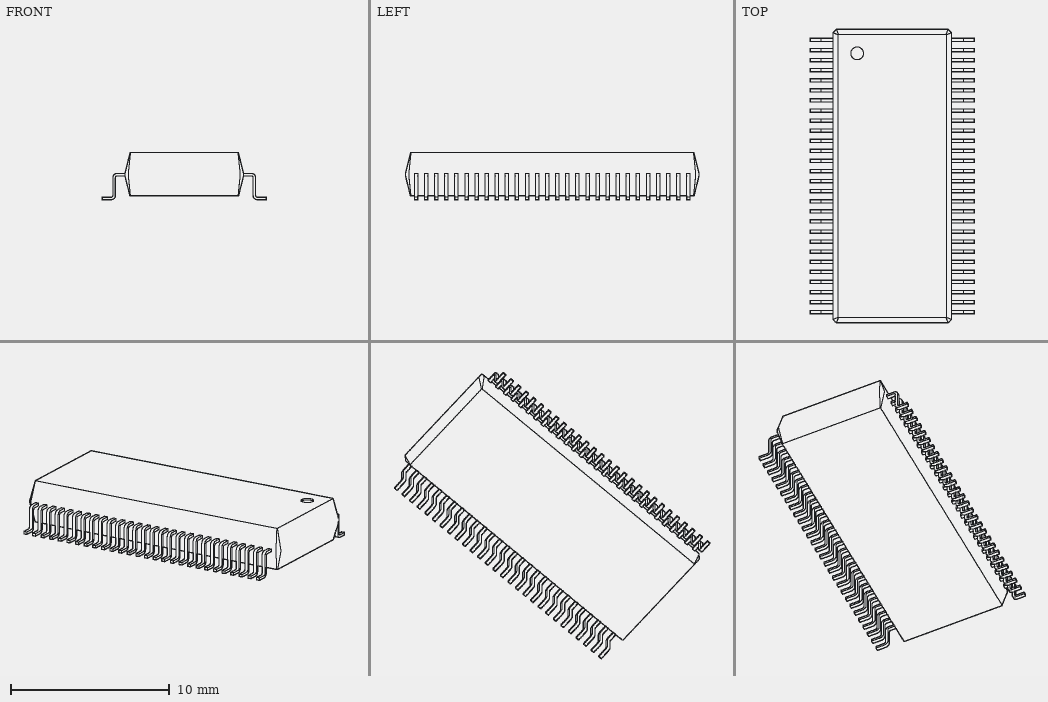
import cadquery as cq
import math

SPAN_X = 10.35
HEIGHT = 2.99

BODY_X = 7.48
BODY_Y = 18.5
STANDOFF = 0.25
CORNER_CHAMFER = 0.22
DRAFT_ANGLE = 14

LEADS_PER_SIDE = 28
PITCH = 0.635
LEAD_WIDTH = 0.22
LEAD_THICKNESS = 0.17
LEAD_TOP = 1.67
SHANK_OUTER_X = 4.5
BEND_INNER_RADIUS = 0.1
LEAD_EMBED = 0.3

BAND_TOP = LEAD_TOP
BAND_BOTTOM = LEAD_TOP - LEAD_THICKNESS

DIMPLE_DIAMETER = 0.8
DIMPLE_DEPTH = 0.1
DIMPLE_X = -2.21
DIMPLE_Y = 7.73


def outline(z, inset):
    """Rectangle with cut corners at height z, all eight sides moved inward by inset."""
    half_x = BODY_X / 2 - inset
    half_y = BODY_Y / 2 - inset
    cut = CORNER_CHAMFER - inset * (2 - math.sqrt(2))
    points = [
        (half_x - cut, half_y),
        (half_x, half_y - cut),
        (half_x, cut - half_y),
        (half_x - cut, -half_y),
        (cut - half_x, -half_y),
        (-half_x, cut - half_y),
        (-half_x, half_y - cut),
        (cut - half_x, half_y),
    ]
    wire = cq.Workplane("XY").workplane(offset=z).polyline(points).close()
    return wire.val()


def body_layer(z_low, inset_low, z_high, inset_high):
    """Layer of the body between two outlines."""
    wires = [outline(z_low, inset_low), outline(z_high, inset_high)]
    return cq.Workplane(cq.Solid.makeLoft(wires, True))


def make_body():
    """Two drafted halves joined by the straight band."""
    slope = math.tan(math.radians(DRAFT_ANGLE))
    bottom_inset = (BAND_BOTTOM - STANDOFF) * slope
    top_inset = (HEIGHT - BAND_TOP) * slope
    lower = body_layer(STANDOFF, bottom_inset, BAND_BOTTOM, 0)
    band = body_layer(BAND_BOTTOM, 0, BAND_TOP, 0)
    upper = body_layer(BAND_TOP, 0, HEIGHT, top_inset)
    return lower.union(band).union(upper)


def make_lead():
    """Gull-wing lead on the +X side, centred on Y = 0."""
    root_x = BODY_X / 2 - LEAD_EMBED
    shank_inner_x = SHANK_OUTER_X - LEAD_THICKNESS
    bend_outer_radius = BEND_INNER_RADIUS + LEAD_THICKNESS
    toe_x = SPAN_X / 2
    shoulder_bottom = LEAD_TOP - LEAD_THICKNESS
    profile = (
        cq.Workplane("XZ")
        .moveTo(root_x, LEAD_TOP)
        .lineTo(SHANK_OUTER_X - bend_outer_radius, LEAD_TOP)
        .radiusArc((SHANK_OUTER_X, LEAD_TOP - bend_outer_radius), bend_outer_radius)
        .lineTo(SHANK_OUTER_X, bend_outer_radius)
        .radiusArc((SHANK_OUTER_X + BEND_INNER_RADIUS, LEAD_THICKNESS), -BEND_INNER_RADIUS)
        .lineTo(toe_x, LEAD_THICKNESS)
        .lineTo(toe_x, 0)
        .lineTo(shank_inner_x + bend_outer_radius, 0)
        .radiusArc((shank_inner_x, bend_outer_radius), bend_outer_radius)
        .lineTo(shank_inner_x, shoulder_bottom - BEND_INNER_RADIUS)
        .radiusArc((shank_inner_x - BEND_INNER_RADIUS, shoulder_bottom), -BEND_INNER_RADIUS)
        .lineTo(root_x, shoulder_bottom)
        .close()
    )
    return profile.extrude(LEAD_WIDTH / 2, both=True)


def make_leads():
    """Both rows of leads, evenly spaced about Y = 0."""
    right_lead = make_lead().val()
    left_lead = right_lead.mirror("YZ")
    first_y = -PITCH * (LEADS_PER_SIDE - 1) / 2
    leads = []
    for index in range(LEADS_PER_SIDE):
        shift = cq.Vector(0, first_y + index * PITCH, 0)
        leads.append(right_lead.translate(shift))
        leads.append(left_lead.translate(shift))
    return leads


def make_dimple():
    """Round pin 1 mark sunk into the top face."""
    return (
        cq.Workplane("XY")
        .workplane(offset=HEIGHT - DIMPLE_DEPTH)
        .center(DIMPLE_X, DIMPLE_Y)
        .circle(DIMPLE_DIAMETER / 2)
        .extrude(DIMPLE_DEPTH)
    )


body = make_body().cut(make_dimple())
result = cq.Workplane(body.val().fuse(*make_leads()))